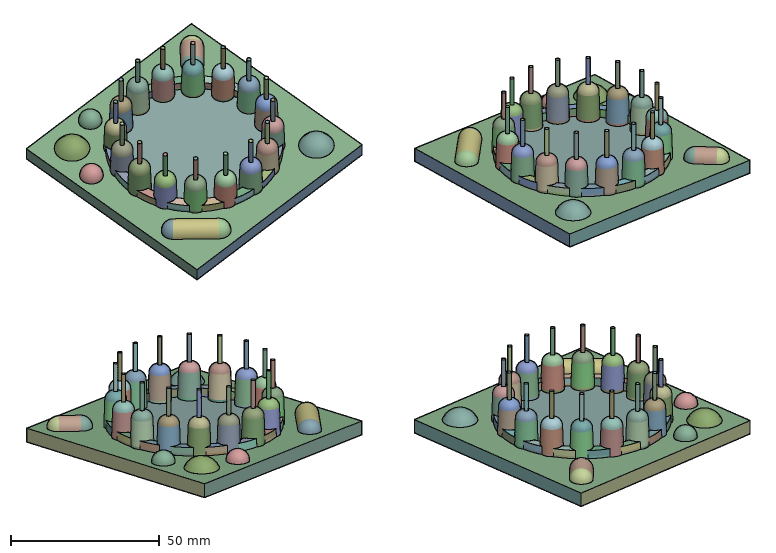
import cadquery as cq
import math

plate_side = 80.0
plate_thickness = 5.0

foot_height = 0.75
draft_angle = 2.0
draft_slope = math.tan(math.radians(draft_angle))

ring_outer_radius = 30.0
ring_inner_radius = 26.75
ring_height = 3.0

post_count = 16
post_circle_radius = 26.5
post_base_radius = 4.0
pin_radius = 0.75
pin_top = 22.75
barrel_height = 9.8
post_top_radius = post_base_radius - (barrel_height - foot_height) * draft_slope
shoulder_radius = post_top_radius - pin_radius
shoulder_top = barrel_height + shoulder_radius

cap_radius = 6.0
cap_height = 4.0
cap_tip_radius = 0.055
cap_offset = 29.1

bead_radius = 4.0
short_capsule_offset = 29.7
short_capsule_span = 7.5
long_capsule_offset = 27.2
long_capsule_span = 15.5
capsule_angle = 45.0
bead_near = 15.75
bead_far = 33.5


def make_plate():
    """Square plate centred on the origin."""
    return cq.Workplane("XY").rect(plate_side, plate_side).extrude(-plate_thickness)


def make_ring():
    """Ring standing on the plate, with drafted walls above its foot."""
    inset = (ring_height - foot_height) * draft_slope
    profile = (
        cq.Workplane("XZ")
        .moveTo(ring_inner_radius, 0)
        .lineTo(ring_outer_radius, 0)
        .lineTo(ring_outer_radius, foot_height)
        .lineTo(ring_outer_radius - inset, ring_height)
        .lineTo(ring_inner_radius + inset, ring_height)
        .lineTo(ring_inner_radius, foot_height)
        .close()
    )
    return profile.revolve(360, (0, 0), (0, 1))


def make_post():
    """Revolved post standing at the origin."""
    diagonal = shoulder_radius * math.sqrt(0.5)
    profile = (
        cq.Workplane("XZ")
        .lineTo(post_base_radius, 0)
        .lineTo(post_base_radius, foot_height)
        .lineTo(post_top_radius, barrel_height)
        .threePointArc((pin_radius + diagonal, barrel_height + diagonal), (pin_radius, shoulder_top))
        .lineTo(pin_radius, pin_top)
        .lineTo(0, pin_top)
        .close()
    )
    return profile.revolve(360, (0, 0), (0, 1))


def make_cap():
    """Shallow dome with a tiny flat tip, standing at the origin."""
    sphere_radius = (cap_radius**2 + cap_height**2) / (2 * cap_height)
    middle_angle = math.asin(cap_radius / sphere_radius) / 2
    middle = (
        sphere_radius * math.sin(middle_angle),
        sphere_radius * math.cos(middle_angle) - sphere_radius + cap_height,
    )
    profile = (
        cq.Workplane("XZ")
        .lineTo(cap_radius, 0)
        .threePointArc(middle, (cap_tip_radius, cap_height))
        .lineTo(0, cap_height)
        .close()
    )
    return profile.revolve(360, (0, 0), (0, 1))


def make_bead():
    """Hemisphere resting on the plate, at the origin."""
    profile = (
        cq.Workplane("XZ")
        .lineTo(bead_radius, 0)
        .radiusArc((0, bead_radius), -bead_radius)
        .close()
    )
    return profile.revolve(360, (0, 0), (0, 1))


def make_capsule(span, angle):
    """Half-round bar with hemispherical ends, its end centres span apart."""
    half_span = span / 2
    bar = (
        cq.Workplane("YZ")
        .moveTo(-bead_radius, 0)
        .threePointArc((0, bead_radius), (bead_radius, 0))
        .close()
        .extrude(half_span, both=True)
    )
    for side in (-1, 1):
        bar = bar.union(make_bead().translate((side * half_span, 0, 0)))
    return bar.rotate((0, 0, 0), (0, 0, 1), angle)


result = make_plate().union(make_ring())

post = make_post()
for index in range(post_count):
    angle = index * 360 / post_count
    placed_post = post.translate((post_circle_radius, 0, 0)).rotate((0, 0, 0), (0, 0, 1), angle)
    result = result.union(placed_post)

for side in (-1, 1):
    result = result.union(make_cap().translate((side * cap_offset, side * cap_offset, 0)))

for x, y in ((-bead_far, -bead_near), (-bead_near, -bead_far)):
    result = result.union(make_bead().translate((x, y, 0)))

short_capsule = make_capsule(short_capsule_span, -capsule_angle)
result = result.union(short_capsule.translate((-short_capsule_offset, short_capsule_offset, 0)))

long_capsule = make_capsule(long_capsule_span, capsule_angle)
result = result.union(long_capsule.translate((long_capsule_offset, -long_capsule_offset, 0)))